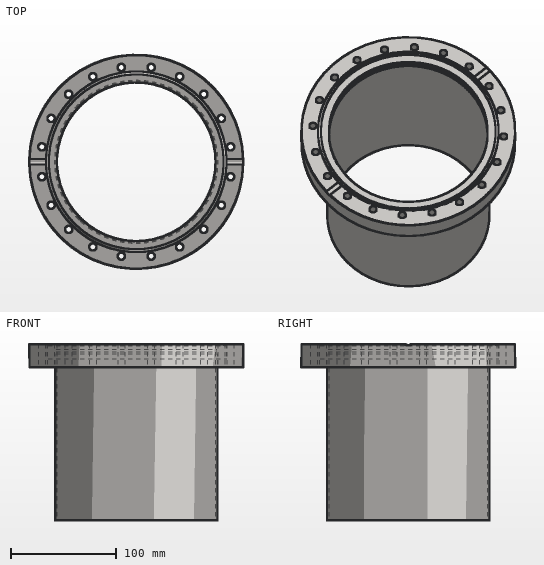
import cadquery as cq

TOTAL_HEIGHT = 167.0
FLANGE_DIAMETER = 203.0
FLANGE_THICKNESS = 22.0
FLANGE_EDGE_CHAMFER = 0.5

TUBE_OUTER_DIAMETER = 154.0
TUBE_BORE = 150.0

INSERT_DIAMETER = 171.3
INSERT_HEIGHT = 14.2
INSERT_MOUTH_BORE = 150.6
INSERT_TOP_DROP = 1.5
KNIFE_DIAMETER = 165.6
KNIFE_RISE = 0.8
KNIFE_SLOPE_DROP = 1.0

MOUTH_HEIGHT = 3.7
RELIEF_RADIUS = 1.2
RIM_HEIGHT = 1.6
TUBE_TOP_DEPTH = INSERT_TOP_DROP + MOUTH_HEIGHT + 2 * RELIEF_RADIUS + RIM_HEIGHT

SEAT_DIAMETER = INSERT_DIAMETER
LOWER_BORE = 154.9

BOLT_COUNT = 20
BOLT_CIRCLE_DIAMETER = 181.0
BOLT_HOLE_DIAMETER = 6.7

GROOVE_WIDTH = 5.0
GROOVE_DEPTH = 1.0


def make_tube():
    length = TOTAL_HEIGHT - TUBE_TOP_DEPTH
    return cq.Workplane("XY").circle(TUBE_OUTER_DIAMETER / 2).circle(TUBE_BORE / 2).extrude(length)


def make_insert():
    top = TOTAL_HEIGHT - INSERT_TOP_DROP
    knife_tip = top + KNIFE_RISE
    bottom = TOTAL_HEIGHT - INSERT_HEIGHT
    tube_top = TOTAL_HEIGHT - TUBE_TOP_DEPTH
    relief_top = top - MOUTH_HEIGHT
    relief_middle = relief_top - RELIEF_RADIUS
    relief_bottom = relief_middle - RELIEF_RADIUS
    mouth_radius = INSERT_MOUTH_BORE / 2
    rim_radius = TUBE_BORE / 2
    profile = (
        cq.Workplane("XZ")
        .moveTo(mouth_radius, top)
        .lineTo(KNIFE_DIAMETER / 2, top)
        .lineTo(KNIFE_DIAMETER / 2, knife_tip)
        .lineTo(INSERT_DIAMETER / 2, knife_tip - KNIFE_SLOPE_DROP)
        .lineTo(INSERT_DIAMETER / 2, bottom)
        .lineTo(TUBE_OUTER_DIAMETER / 2, bottom)
        .lineTo(TUBE_OUTER_DIAMETER / 2, tube_top)
        .lineTo(rim_radius, tube_top)
        .lineTo(rim_radius, relief_bottom)
        .threePointArc((mouth_radius + RELIEF_RADIUS, relief_middle), (mouth_radius, relief_top))
        .close()
    )
    return profile.revolve(360, (0, 0), (0, 1))


def cut_bolt_holes(flange):
    step = 360 / BOLT_COUNT
    holes = (
        cq.Workplane("XY", origin=(0, 0, TOTAL_HEIGHT - FLANGE_THICKNESS))
        .polarArray(BOLT_CIRCLE_DIAMETER / 2, step / 2, 360, BOLT_COUNT)
        .circle(BOLT_HOLE_DIAMETER / 2)
        .extrude(FLANGE_THICKNESS)
    )
    return flange.cut(holes)


def cut_leak_grooves(flange):
    radius = ((GROOVE_WIDTH / 2) ** 2 + GROOVE_DEPTH ** 2) / (2 * GROOVE_DEPTH)
    cutter = (
        cq.Workplane("YZ")
        .center(0, TOTAL_HEIGHT - GROOVE_DEPTH + radius)
        .circle(radius)
        .extrude(FLANGE_DIAMETER / 2, both=True)
    )
    return flange.cut(cutter)


def make_flange():
    bottom = TOTAL_HEIGHT - FLANGE_THICKNESS
    flange = (
        cq.Workplane("XY", origin=(0, 0, bottom))
        .circle(FLANGE_DIAMETER / 2)
        .extrude(FLANGE_THICKNESS)
        .edges()
        .chamfer(FLANGE_EDGE_CHAMFER)
    )
    lower_bore = cq.Workplane("XY", origin=(0, 0, bottom)).circle(LOWER_BORE / 2).extrude(FLANGE_THICKNESS)
    seat = (
        cq.Workplane("XY", origin=(0, 0, TOTAL_HEIGHT - INSERT_HEIGHT))
        .circle(SEAT_DIAMETER / 2)
        .extrude(INSERT_HEIGHT)
    )
    flange = flange.cut(lower_bore).cut(seat)
    return cut_leak_grooves(cut_bolt_holes(flange))


tube = make_tube()
insert = make_insert()
flange = make_flange()
result = cq.Compound.makeCompound([tube.val(), insert.val(), flange.val()])